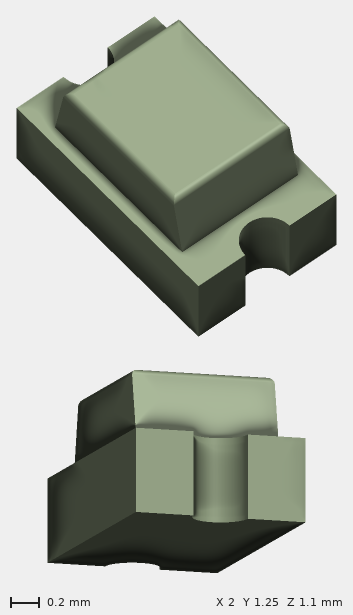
import cadquery as cq

base_length = 2
base_width = 1.25
base_height = 0.6
notch_radius = 0.2

lens_bottom_length = 1.4
lens_top_length = 1.2
lens_width = 1.05
lens_height = 0.5
lens_edge_radius = 0.05


def make_base():
    """Rectangular board with a half-round notch through each end."""
    board = cq.Workplane("XY").box(base_length, base_width, base_height, centered=(True, True, False))
    notches = (
        cq.Workplane("XY")
        .pushPoints([(-base_length / 2, 0), (base_length / 2, 0)])
        .circle(notch_radius)
        .extrude(base_height)
    )
    return board.cut(notches)


def make_lens():
    """Trapezoidal lens standing on the board, with its top edges rounded."""
    lens_top = base_height + lens_height
    profile = [
        (-lens_bottom_length / 2, base_height),
        (lens_bottom_length / 2, base_height),
        (lens_top_length / 2, lens_top),
        (-lens_top_length / 2, lens_top),
    ]
    lens = cq.Workplane("XZ").polyline(profile).close().extrude(lens_width / 2, both=True)
    return lens.faces(">Z").edges().fillet(lens_edge_radius)


result = make_base().union(make_lens())